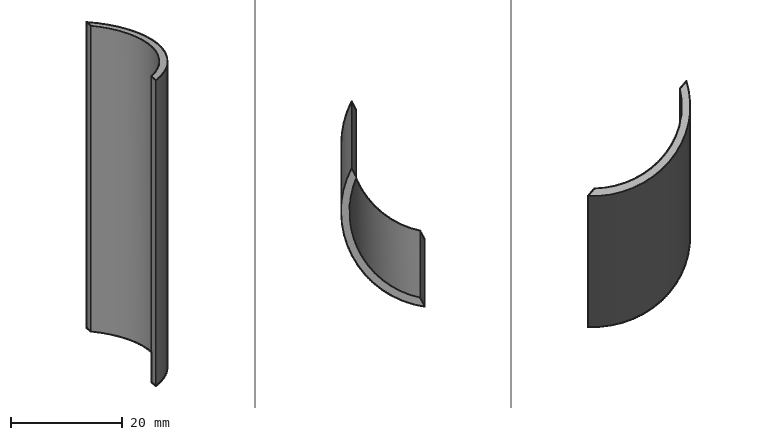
import cadquery as cq
import math

length = 60.0
width = 28.55
rise = 7.3
wall = 1.5

half_width = width / 2
outer_radius = (half_width**2 + rise**2) / (2 * rise)
inner_radius = outer_radius - wall
axis_to_cut = outer_radius - rise
inner_half_width = math.sqrt(inner_radius**2 - axis_to_cut**2)

result = (
    cq.Workplane("XY")
    .moveTo(-half_width, axis_to_cut)
    .threePointArc((0, outer_radius), (half_width, axis_to_cut))
    .lineTo(inner_half_width, axis_to_cut)
    .threePointArc((0, inner_radius), (-inner_half_width, axis_to_cut))
    .close()
    .extrude(length)
)